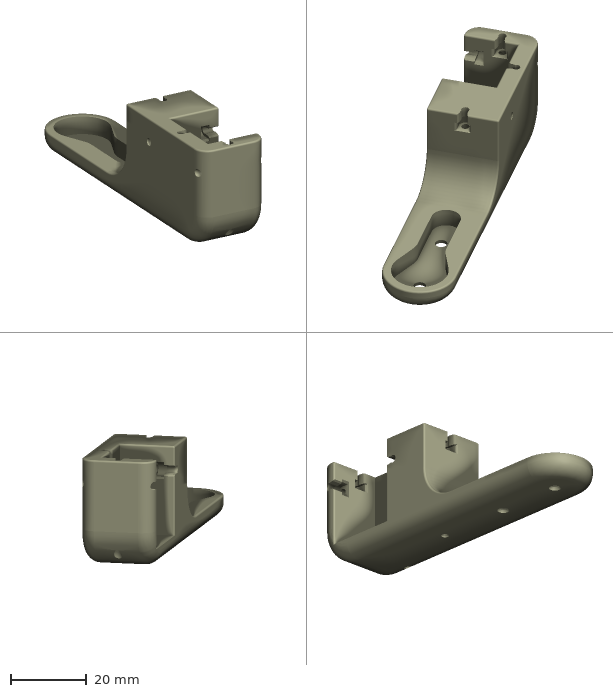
import cadquery as cq
import math

LENGTH = 90.0
WIDTH = 20.0
HEIGHT = 29.1
ARM_HEIGHT = 6.0
BLOCK_START = 50.0
HALF_WIDTH = WIDTH / 2
SWEEP_RADIUS = HALF_WIDTH
OUTER_ROUND = 4.0
EDGE_ROUND = 0.5

WALL = 5.0
POCKET_LENGTH = 20.2
POCKET_END = LENGTH - WALL
POCKET_START = POCKET_END - POCKET_LENGTH
POCKET_FLOOR = WALL
POCKET_FRONT = -HALF_WIDTH + WALL

ARM_HOLE_DIAMETER = 3.2
ARM_HOLE_SPACING = 20.0
RECESS_FLOOR = 1.0
RECESS_BIG_RADIUS = 7.65
RECESS_SLOT_RADIUS = 4.0
RECESS_END = 38.4
RECESS_TAPER = math.radians(23)
RECESS_BLEND = 6.75

SCREW_DIAMETER = 2.2
NECK_ROOT = 1.6
NECK_THROAT = 2.25
NECK_MOUTH = 3.0
MOUTH_DEPTH = 0.5
HEAD_DIAMETER = 3.6
HEAD_MOUTH = 4.6
HEAD_DEPTH = 3.0
HEAD_HEIGHT = 2.5
SCREW_INSET = WALL / 2
CROSS_SCREW_Z = 22.4


def make_body():
    """Side outline extruded across the width, then rounded."""
    body = (
        cq.Workplane("XZ", origin=(0, HALF_WIDTH, 0))
        .lineTo(LENGTH - SWEEP_RADIUS, 0)
        .radiusArc((LENGTH, SWEEP_RADIUS), -SWEEP_RADIUS)
        .lineTo(LENGTH, HEIGHT)
        .lineTo(BLOCK_START, HEIGHT)
        .lineTo(BLOCK_START, ARM_HEIGHT + SWEEP_RADIUS)
        .radiusArc((BLOCK_START - SWEEP_RADIUS, ARM_HEIGHT), SWEEP_RADIUS)
        .lineTo(0, ARM_HEIGHT)
        .close()
        .extrude(WIDTH)
    )
    end_cap = cq.Workplane("XY").center(HALF_WIDTH, 0).circle(HALF_WIDTH).extrude(HEIGHT)
    straight = cq.Workplane("XY").box(LENGTH, WIDTH, HEIGHT, centered=(False, True, False))
    plan = straight.translate((HALF_WIDTH, 0, 0)).union(end_cap)
    body = body.intersect(plan)
    body = body.faces("<Z").edges().fillet(OUTER_ROUND)
    return body


def cut_pocket(body):
    """Rectangular pocket open at the top and at the +Y side."""
    pocket = cq.Workplane("XY").box(
        POCKET_LENGTH, HALF_WIDTH - POCKET_FRONT, HEIGHT - POCKET_FLOOR, centered=False
    )
    return body.cut(pocket.translate((POCKET_START, POCKET_FRONT, POCKET_FLOOR)))


def round_upper_edges(body):
    """Soften the block rim, the pocket mouth and the chain from the sweep round the arm rim."""
    corner_edges = cq.selectors.BoxSelector(
        (BLOCK_START - EDGE_ROUND, -WIDTH, ARM_HEIGHT + SWEEP_RADIUS),
        (BLOCK_START + EDGE_ROUND, WIDTH, HEIGHT - EDGE_ROUND),
    )
    rim = body.faces(">Z").edges()
    corners = body.edges("|Z").edges(corner_edges)
    mouth_edges = cq.selectors.BoxSelector(
        (POCKET_START - EDGE_ROUND, HALF_WIDTH - EDGE_ROUND, POCKET_FLOOR),
        (POCKET_END + EDGE_ROUND, HALF_WIDTH + EDGE_ROUND, HEIGHT - EDGE_ROUND),
    )
    mouth = body.edges("|Z").edges(mouth_edges)
    return rim.add(corners).add(mouth).fillet(EDGE_ROUND)


def arm_recess():
    """Round end tapering tangentially into a straight slot."""
    tangent_x = HALF_WIDTH + RECESS_BIG_RADIUS * math.sin(RECESS_TAPER)
    tangent_y = RECESS_BIG_RADIUS * math.cos(RECESS_TAPER)
    neck_x = tangent_x + (tangent_y - RECESS_SLOT_RADIUS) / math.tan(RECESS_TAPER)
    slot_x = RECESS_END - RECESS_SLOT_RADIUS
    recess = (
        cq.Workplane("XY", origin=(0, 0, RECESS_FLOOR))
        .moveTo(tangent_x, tangent_y)
        .lineTo(neck_x, RECESS_SLOT_RADIUS)
        .lineTo(slot_x, RECESS_SLOT_RADIUS)
        .threePointArc((RECESS_END, 0), (slot_x, -RECESS_SLOT_RADIUS))
        .lineTo(neck_x, -RECESS_SLOT_RADIUS)
        .lineTo(tangent_x, -tangent_y)
        .threePointArc((HALF_WIDTH - RECESS_BIG_RADIUS, 0), (tangent_x, tangent_y))
        .close()
        .extrude(ARM_HEIGHT)
    )
    neck_edges = cq.selectors.BoxSelector(
        (neck_x - EDGE_ROUND, -WIDTH, 0), (neck_x + EDGE_ROUND, WIDTH, HEIGHT)
    )
    return recess.edges("|Z").edges(neck_edges).fillet(RECESS_BLEND)


def arm_holes():
    centers = [(HALF_WIDTH, 0), (HALF_WIDTH + ARM_HOLE_SPACING, 0)]
    return cq.Workplane("XY").pushPoints(centers).circle(ARM_HOLE_DIAMETER / 2).extrude(ARM_HEIGHT)


def keyhole(diameter, root_width, throat_width, mouth_width, start, end):
    """Round hole with a side opening from its axis to a bevelled mouth in the wall at +x."""
    throat_x = SCREW_INSET - MOUTH_DEPTH
    upper_side = [
        (0, root_width / 2),
        (throat_x, throat_width / 2),
        (SCREW_INSET, mouth_width / 2),
    ]
    lower_side = [(x, -y) for x, y in reversed(upper_side)]
    base = cq.Workplane("XY", origin=(0, 0, start))
    opening = base.polyline(upper_side + lower_side).close().extrude(end - start)
    hole = base.circle(diameter / 2).extrude(end - start)
    return opening.union(hole)


def screw_seat(length):
    """Screw cutter entering at z = 0 and running down, its side opening toward +x."""
    head_end = HEAD_DEPTH + HEAD_HEIGHT
    hole = cq.Workplane("XY").circle(SCREW_DIAMETER / 2).extrude(-length)
    neck = keyhole(SCREW_DIAMETER, NECK_ROOT, NECK_THROAT, NECK_MOUTH, -HEAD_DEPTH, 0)
    head = keyhole(HEAD_DIAMETER, HEAD_DIAMETER, HEAD_DIAMETER, HEAD_MOUTH, -head_end, -HEAD_DEPTH)
    return hole.union(neck).union(head)


def screw_seats():
    """Three upright seats in the block top and two crosswise ones beside the pocket."""
    upright = screw_seat(HEIGHT)
    pocket_middle = (POCKET_START + POCKET_END) / 2
    seats = [
        upright.rotate((0, 0, 0), (0, 0, 1), turn).translate((x, y, HEIGHT))
        for x, y, turn in (
            (BLOCK_START + SCREW_INSET, 0, 180),
            (POCKET_END + SCREW_INSET, 0, 180),
            (pocket_middle, POCKET_FRONT - SCREW_INSET, 90),
        )
    ]
    crosswise = screw_seat(WIDTH).rotate((0, 0, 0), (1, 0, 0), -90)
    for x, turn in ((POCKET_START - SCREW_INSET, 0), (POCKET_END + SCREW_INSET, 180)):
        seat = crosswise.rotate((0, 0, 0), (0, 1, 0), turn)
        seats.append(seat.translate((x, HALF_WIDTH, CROSS_SCREW_Z)))
    return seats


result = round_upper_edges(cut_pocket(make_body()))
result = result.cut(arm_recess()).cut(arm_holes())
for seat in screw_seats():
    result = result.cut(seat)